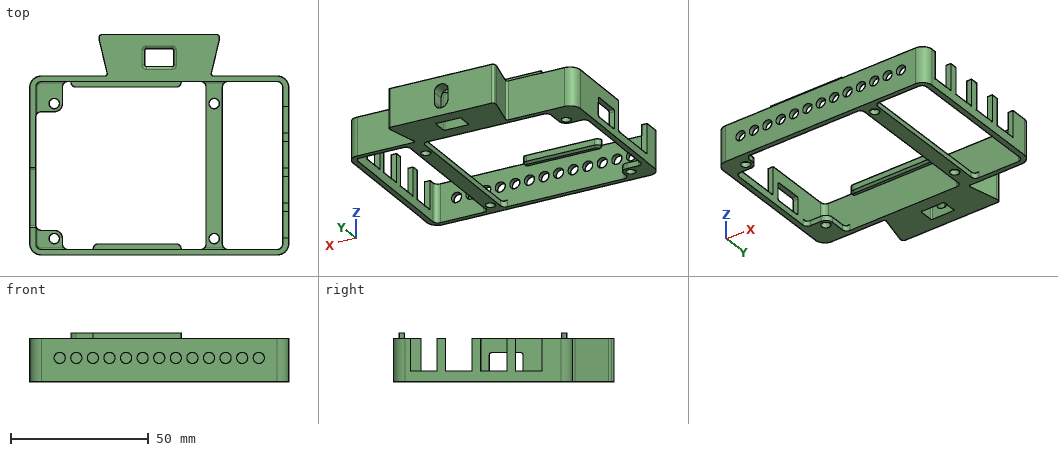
import cadquery as cq
frame_length = 94.0
frame_width = 65.0
frame_height = 15.7
end_wall = 2.3
cavity_width = 60.9
frame_corner_radius = 4.2
frame_inner_radius = 2.1
inner_x = frame_length / 2 - end_wall
inner_y = cavity_width / 2
outer_y = frame_width / 2
side_wall = outer_y - inner_y

overall_height = 17.8
lip_depth = 2.1
lip_drop = 1.2
lip_bevel = 0.8
lip_end_radius = 1.9
lip_right_end = 8.0
rear_lip_length = 40.0
front_lip_length = 32.0

mount_thickness = 2.3
mount_hole_diameter = 3.7
mount_margin = 3.0
hole_left_x = -38.1
hole_spacing_x = 58.0
hole_rear_y = 22.5
hole_spacing_y = 49.0
hole_right_x = hole_left_x + hole_spacing_x
hole_front_y = hole_rear_y - hole_spacing_y
pad_corner_radius = 3.0
mount_flare_radius = 2.0
mount_wall_fillet = 0.5

front_hole_count = 13
front_hole_pitch = 6.0
front_hole_diameter = 4.0
front_hole_z = 8.65

opening_radius = 0.75
notch_y_min = -22.5
notch_y_max = -0.75
notch_floor = 3.3
window_y_min = 2.35
window_y_max = 14.5
window_z_min = 2.7
window_z_max = 10.5

slot_count = 4
slot_pitch = 12.7
slot_width = 9.5
slot_center_y = -2.4
slot_floor = 3.95

tab_depth = 15.0
tab_tip_half_width = 21.8
tab_root_half_width = 18.7
tab_tip_straight = 2.0
tab_tip_radius = 0.9
tab_root_fillet = 0.75
tab_tip_y = outer_y + tab_depth

pocket_length = 10.3
pocket_width = 6.4
pocket_center_y = 39.1
pocket_corner_radius = 0.5
pocket_rim_fillet = 1.0
screw_slot_width = 5.6
screw_slot_height = 9.6


def box(x_min, x_max, y_min, y_max, z_min, z_max):
    """Axis-aligned box between two opposite corners."""
    size = (x_max - x_min, y_max - y_min, z_max - z_min)
    return cq.Workplane("XY").box(*size, centered=False).translate((x_min, y_min, z_min))


def make_walls():
    outer = cq.Workplane("XY").rect(frame_length, frame_width).extrude(frame_height)
    outer = outer.edges("|Z").fillet(frame_corner_radius)
    inner = cq.Workplane("XY").rect(2 * inner_x, 2 * inner_y).extrude(frame_height)
    inner = inner.edges("|Z").fillet(frame_inner_radius)
    return outer.cut(inner)


def make_tab():
    """Dovetail block, full height, widening towards its tip."""
    shoulder_y = tab_tip_y - tab_tip_straight
    right_side = [
        (tab_root_half_width, inner_y),
        (tab_root_half_width, outer_y),
        (tab_tip_half_width, shoulder_y),
        (tab_tip_half_width, tab_tip_y),
    ]
    left_side = [(-x, y) for x, y in reversed(right_side)]
    tab = cq.Workplane("XY").polyline(right_side + left_side).close().extrude(frame_height)
    return tab.edges("|Z and >Y").fillet(tab_tip_radius)


def make_pocket():
    """Cutter for the rectangular nut pocket."""
    pocket = cq.Workplane("XY").center(0, pocket_center_y).rect(pocket_length, pocket_width)
    return pocket.extrude(frame_height).edges("|Z").fillet(pocket_corner_radius)


def round_pocket_rim(body):
    """Round over the top rim of the nut pocket."""
    low_corner = (-pocket_length, pocket_center_y - pocket_width, frame_height - pocket_rim_fillet)
    high_corner = (pocket_length, pocket_center_y + pocket_width, frame_height + pocket_rim_fillet)
    rim = cq.selectors.BoxSelector(low_corner, high_corner)
    return body.edges("#Z").edges(rim).fillet(pocket_rim_fillet)


def make_screw_slot():
    slot = cq.Workplane("XZ", origin=(0, tab_tip_y, frame_height / 2))
    slot = slot.slot2D(screw_slot_height, screw_slot_width, 90)
    return slot.extrude(tab_tip_y - pocket_center_y)


def make_lip(length, side):
    """Lip on the rear (side = 1) or front (side = -1) wall.

    Its free corners are rounded and its lower edge is bevelled all along its free sides.
    """
    lip_bottom = frame_height - lip_drop
    y_min, y_max = sorted((side * inner_y, side * (inner_y - lip_depth)))
    lip = box(lip_right_end - length, lip_right_end, y_min, y_max, lip_bottom, overall_height)
    wall_side, free_side = (">Y", "<Y") if side > 0 else ("<Y", ">Y")
    lip = lip.edges(f"|Z and {free_side}").fillet(lip_end_radius)
    return lip.faces("<Z").edges(f"not {wall_side}").chamfer(lip_bevel)


def make_mounts():
    pad_right = hole_left_x + mount_margin
    rear_pad = box(-inner_x, pad_right, hole_rear_y - mount_margin, inner_y, 0, mount_thickness)
    rear_pad = rear_pad.edges("|Z and >X and <Y").fillet(pad_corner_radius)
    front_pad = box(-inner_x, pad_right, -inner_y, hole_front_y + mount_margin, 0, mount_thickness)
    front_pad = front_pad.edges("|Z and >X and >Y").fillet(pad_corner_radius)
    bar_left = hole_right_x - mount_margin
    bar_right = hole_right_x + mount_margin
    bar = box(bar_left, bar_right, -inner_y, inner_y, 0, mount_thickness)
    return [rear_pad, front_pad, bar]


def near(x, y, z):
    """Selector for the edge whose centre is closest to a point."""
    return cq.selectors.NearestToPointSelector((x, y, z))


def fillet_mounts(body):
    """Flare every mount where it meets a wall, then round the seam above it."""
    mid_z = mount_thickness / 2
    pad_right = hole_left_x + mount_margin
    bar_sides = (hole_right_x - mount_margin, hole_right_x + mount_margin)
    corners = [(x, y) for x in (pad_right, *bar_sides) for y in (inner_y, -inner_y)]
    corners.append((-inner_x, hole_rear_y - mount_margin))
    corners.append((-inner_x, hole_front_y + mount_margin))
    for x, y in corners:
        body = body.edges(near(x, y, mid_z)).fillet(mount_flare_radius)
    for y in (inner_y, -inner_y):
        body = body.edges(near(hole_right_x, y, mount_thickness)).fillet(mount_wall_fillet)
        body = body.edges(near(hole_left_x, y, mount_thickness)).fillet(mount_wall_fillet)
    return body


def make_mount_holes():
    points = [(x, y) for x in (hole_left_x, hole_right_x) for y in (hole_front_y, hole_rear_y)]
    holes = cq.Workplane("XY").pushPoints(points).circle(mount_hole_diameter / 2)
    return holes.extrude(mount_thickness)


def make_front_holes():
    row = cq.Workplane("XZ", origin=(0, -inner_y, front_hole_z))
    row = row.rarray(front_hole_pitch, 0.9, front_hole_count, 1)
    return row.circle(front_hole_diameter / 2).extrude(side_wall)


def make_left_openings():
    wall = (-frame_length / 2, -inner_x)
    notch = box(*wall, notch_y_min, notch_y_max, notch_floor, frame_height)
    notch = notch.edges("|X and <Z").fillet(opening_radius)
    window = box(*wall, window_y_min, window_y_max, window_z_min, window_z_max)
    return notch.union(window.edges("|X").fillet(opening_radius))


def make_right_slots():
    wall_mid_x = frame_length / 2 - end_wall / 2
    slots = cq.Workplane("XY", origin=(wall_mid_x, slot_center_y, slot_floor))
    slots = slots.rarray(0.9, slot_pitch, 1, slot_count).rect(end_wall, slot_width)
    return slots.extrude(frame_height - slot_floor)


body = make_walls().union(make_tab())
for side in (-1, 1):
    root_corner = near(side * tab_root_half_width, outer_y, frame_height / 2)
    body = body.edges(root_corner).fillet(tab_root_fillet)
body = round_pocket_rim(body.cut(make_pocket()))
for mount in make_mounts():
    body = body.union(mount)
body = fillet_mounts(body)
body = body.union(make_lip(rear_lip_length, 1)).union(make_lip(front_lip_length, -1))
body = body.cut(make_screw_slot()).cut(make_mount_holes()).cut(make_front_holes())
body = body.cut(make_left_openings()).cut(make_right_slots())

result = body